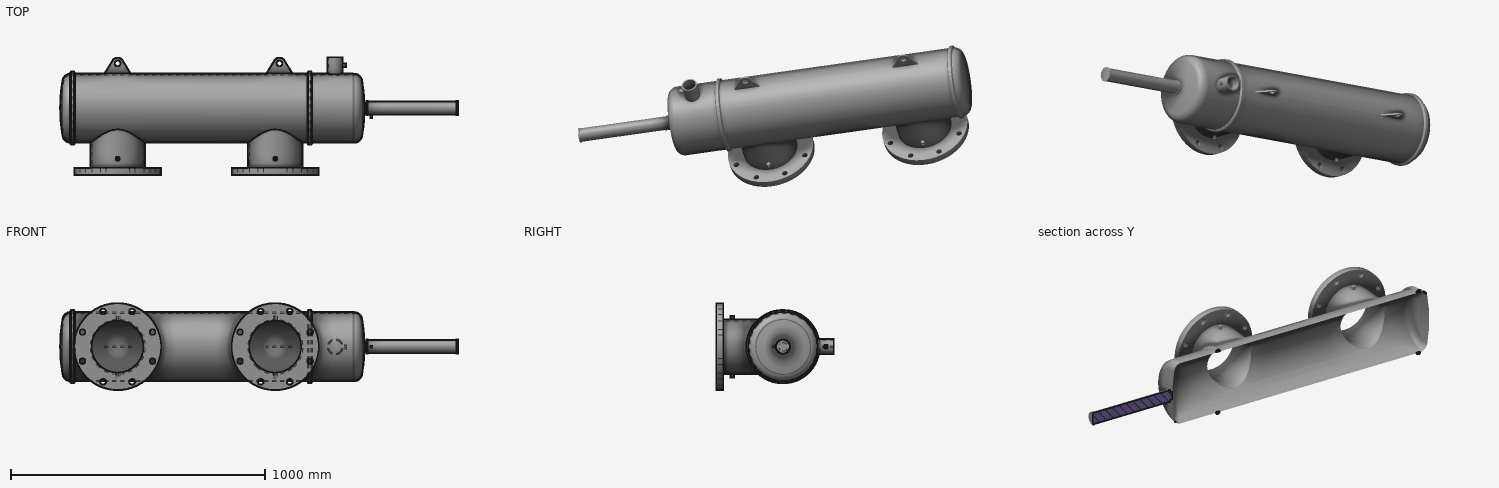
import cadquery as cq
import math


SHELL_RADIUS = 273.05 / 2
SHELL_WALL = 4.2
CROWN_RADIUS = 620.0
KNUCKLE_RADIUS = 34.5
STRAIGHT_FLANGE = 4.0

LEFT_JOINT_X = 49.5
RIGHT_JOINT_X = 982.5
CHAMBER_TIP_X = 1198.0
ACTUATOR_START_X = 1203.5
OVERALL_LENGTH = 1565.21

OVERALL_DEPTH = 463.55

CLAMP_RADIUS = 144.5
CLAMP_BASE_WIDTH = 20.0
CLAMP_TOP_WIDTH = 11.0

NOZZLE_XS = (226.6, 846.2)
NOZZLE_RADIUS = 215.9 / 2
NOZZLE_BORE_RADIUS = 204.0 / 2
FLANGE_FACE_Y = -263.0
FLANGE_RADIUS = 342.9 / 2
FLANGE_THICKNESS = 28.6
BOLT_CIRCLE_RADIUS = 298.45 / 2
BOLT_HOLE_RADIUS = 22.2 / 2
BOLT_COUNT = 8

BOSS_RADIUS = 8.0
BOSS_HOLE_RADIUS = 3.0
BOSS_HEIGHT = 13.5
NOZZLE_BOSS_Y = -198.5

LUG_XS = (NOZZLE_XS[0], 863.0)
LUG_HOLE_Y = 176.0
LUG_TIP_RADIUS = 23.0
LUG_HOLE_RADIUS = 11.0
LUG_BASE_WIDTH = 103.0
LUG_THICKNESS = 6.35

PORT_X = 1081.5
PORT_RADIUS = 61.5 / 2
PORT_BORE_RADIUS = 52.5 / 2
PORT_END_Y = OVERALL_DEPTH + FLANGE_FACE_Y
PORT_BOSS_Y = 169.0

ACTUATOR_RADIUS = 53.0 / 2
COLLAR_RADIUS = 57.0 / 2
COLLAR_WIDTH = 7.5
NECK_RADIUS = 33.4 / 2
STUD_X = 1224.0
STUD_RADIUS = 4.5
STUD_TIP_Y = -38.5

DISH_ANGLE = math.asin((SHELL_RADIUS - KNUCKLE_RADIUS) / (CROWN_RADIUS - KNUCKLE_RADIUS))
DISH_DEPTH = CROWN_RADIUS - (CROWN_RADIUS - KNUCKLE_RADIUS) * math.cos(DISH_ANGLE)
CHAMBER_DISH_X = CHAMBER_TIP_X - DISH_DEPTH


def cylinder_x(radius, start, end):
    """Solid cylinder on the vessel axis."""
    return cq.Workplane("YZ", origin=(start, 0, 0)).circle(radius).extrude(end - start)


def cylinder_y(radius, x, start, end):
    """Solid cylinder parallel to Y, crossing the vessel axis at x."""
    return cq.Workplane("XZ", origin=(x, start, 0)).circle(radius).extrude(start - end)


def dished_solid(length, inset=0.0):
    """Solid with a dished end at X = 0 and a flat end at X = length, offset inward by inset."""
    crown = CROWN_RADIUS - inset
    knuckle = KNUCKLE_RADIUS - inset
    radius = SHELL_RADIUS - inset
    half_angle = DISH_ANGLE / 2
    knuckle_angle = (DISH_ANGLE + math.pi / 2) / 2
    knuckle_center_r = SHELL_RADIUS - KNUCKLE_RADIUS

    def crown_point(angle):
        return CROWN_RADIUS - crown * math.cos(angle), crown * math.sin(angle)

    def knuckle_point(angle):
        return DISH_DEPTH - knuckle * math.cos(angle), knuckle_center_r + knuckle * math.sin(angle)

    profile = (
        cq.Workplane("XY")
        .moveTo(inset, 0)
        .threePointArc(crown_point(half_angle), crown_point(DISH_ANGLE))
        .threePointArc(knuckle_point(knuckle_angle), (DISH_DEPTH, radius))
        .lineTo(length, radius)
        .lineTo(length, 0)
        .close()
    )
    return profile.revolve(360, (0, 0, 0), (1, 0, 0))


def make_head(length):
    """Hollow dished head with its tip at X = 0."""
    return dished_solid(length).cut(dished_solid(length, SHELL_WALL))


def make_clamp(joint_x):
    """Ring of trapezoid section that straddles a joint."""
    half_base = CLAMP_BASE_WIDTH / 2
    half_top = CLAMP_TOP_WIDTH / 2
    section = cq.Workplane("XY").polyline([
        (joint_x - half_base, SHELL_RADIUS),
        (joint_x - half_top, CLAMP_RADIUS),
        (joint_x + half_top, CLAMP_RADIUS),
        (joint_x + half_base, SHELL_RADIUS),
    ]).close()
    return section.revolve(360, (0, 0, 0), (1, 0, 0))


def make_lug(x):
    """Lifting lug: a tapered plate with a round tip and a hole, rooted in the shell wall."""
    half_base = LUG_BASE_WIDTH / 2
    root_y = SHELL_RADIUS - SHELL_WALL / 2
    rise = LUG_HOLE_Y - SHELL_RADIUS
    reach = math.hypot(half_base, rise)
    tangent_angle = math.acos(LUG_TIP_RADIUS / reach) - math.atan2(rise, half_base)
    side_x = LUG_TIP_RADIUS * math.cos(tangent_angle)
    side_y = LUG_HOLE_Y + LUG_TIP_RADIUS * math.sin(tangent_angle)
    return (
        cq.Workplane("XY", origin=(x, 0, -LUG_THICKNESS / 2))
        .moveTo(-half_base, root_y)
        .lineTo(-half_base, SHELL_RADIUS)
        .lineTo(-side_x, side_y)
        .threePointArc((0, LUG_HOLE_Y + LUG_TIP_RADIUS), (side_x, side_y))
        .lineTo(half_base, SHELL_RADIUS)
        .lineTo(half_base, root_y)
        .close()
        .moveTo(0, LUG_HOLE_Y)
        .circle(LUG_HOLE_RADIUS)
        .extrude(LUG_THICKNESS)
    )


def nozzle_outside(x):
    """Nozzle pipe, flange and the two opposite bosses, without any holes."""
    boss_reach = NOZZLE_RADIUS + BOSS_HEIGHT
    bosses = (
        cq.Workplane("XY", origin=(x, NOZZLE_BOSS_Y, -boss_reach))
        .circle(BOSS_RADIUS)
        .extrude(2 * boss_reach)
    )
    pipe = cylinder_y(NOZZLE_RADIUS, x, 0, FLANGE_FACE_Y)
    flange = cylinder_y(FLANGE_RADIUS, x, FLANGE_FACE_Y + FLANGE_THICKNESS, FLANGE_FACE_Y)
    return pipe.union(flange).union(bosses)


def nozzle_holes(x):
    """Bore, boss holes and bolt holes of one nozzle."""
    boss_reach = NOZZLE_RADIUS + BOSS_HEIGHT
    boss_holes = (
        cq.Workplane("XY", origin=(x, NOZZLE_BOSS_Y, -boss_reach))
        .circle(BOSS_HOLE_RADIUS)
        .extrude(2 * boss_reach)
    )
    bolt_holes = (
        cq.Workplane("XZ", origin=(x, FLANGE_FACE_Y + FLANGE_THICKNESS, 0))
        .polarArray(BOLT_CIRCLE_RADIUS, 180 / BOLT_COUNT, 360, BOLT_COUNT)
        .circle(BOLT_HOLE_RADIUS)
        .extrude(FLANGE_THICKNESS)
    )
    bore = cylinder_y(NOZZLE_BORE_RADIUS, x, 0, FLANGE_FACE_Y)
    return bore.union(boss_holes).union(bolt_holes)


def make_shell():
    """Main shell between the two joints, with its nozzles and lifting lugs."""
    shell = cylinder_x(SHELL_RADIUS, LEFT_JOINT_X, RIGHT_JOINT_X)
    for x in NOZZLE_XS:
        shell = shell.union(nozzle_outside(x))
    for x in LUG_XS:
        shell = shell.union(make_lug(x))
    shell = shell.cut(cylinder_x(SHELL_RADIUS - SHELL_WALL, LEFT_JOINT_X, RIGHT_JOINT_X))
    for x in NOZZLE_XS:
        shell = shell.cut(nozzle_holes(x))
    return shell


def make_end_chamber():
    """Right end chamber: cylinder, dished end, service port with its boss, and actuator hole."""
    weld_x = CHAMBER_DISH_X - STRAIGHT_FLANGE
    dish = (
        dished_solid(DISH_DEPTH + STRAIGHT_FLANGE)
        .rotate((0, 0, 0), (0, 0, 1), 180)
        .translate((CHAMBER_TIP_X, 0, 0))
    )
    cavity = (
        dished_solid(CHAMBER_TIP_X - RIGHT_JOINT_X, SHELL_WALL)
        .rotate((0, 0, 0), (0, 0, 1), 180)
        .translate((CHAMBER_TIP_X, 0, 0))
    )
    boss_length = PORT_RADIUS + BOSS_HEIGHT
    boss_plane = cq.Workplane("YZ", origin=(PORT_X, PORT_BOSS_Y, 0))
    return (
        cylinder_x(SHELL_RADIUS, RIGHT_JOINT_X, weld_x)
        .union(dish, clean=False)
        .union(cylinder_y(PORT_RADIUS, PORT_X, PORT_END_Y, 0), clean=False)
        .union(boss_plane.circle(BOSS_RADIUS).extrude(boss_length), clean=False)
        .cut(cavity, clean=False)
        .cut(cylinder_y(PORT_BORE_RADIUS, PORT_X, PORT_END_Y, 0), clean=False)
        .cut(boss_plane.circle(BOSS_HOLE_RADIUS).extrude(boss_length), clean=False)
        .cut(cylinder_x(NECK_RADIUS, CHAMBER_DISH_X, CHAMBER_TIP_X), clean=False)
    )


def make_actuator():
    """Actuator: neck through the dished end, round body with a collar at each end, and a stud."""
    neck_start = CHAMBER_TIP_X - SHELL_WALL
    return (
        cylinder_x(ACTUATOR_RADIUS, ACTUATOR_START_X, OVERALL_LENGTH)
        .union(cylinder_x(COLLAR_RADIUS, ACTUATOR_START_X, ACTUATOR_START_X + COLLAR_WIDTH))
        .union(cylinder_x(COLLAR_RADIUS, OVERALL_LENGTH - COLLAR_WIDTH, OVERALL_LENGTH))
        .union(cylinder_x(NECK_RADIUS, neck_start, ACTUATOR_START_X))
        .union(cylinder_y(STUD_RADIUS, STUD_X, 0, STUD_TIP_Y))
    )


left_head = make_head(LEFT_JOINT_X)
shell = make_shell()
clamps = [make_clamp(x) for x in (LEFT_JOINT_X, RIGHT_JOINT_X)]
end_chamber = make_end_chamber()
actuator = make_actuator()

result = cq.Compound.makeCompound([
    left_head.val(),
    shell.val(),
    *[clamp.val() for clamp in clamps],
    end_chamber.val(),
    actuator.val(),
])